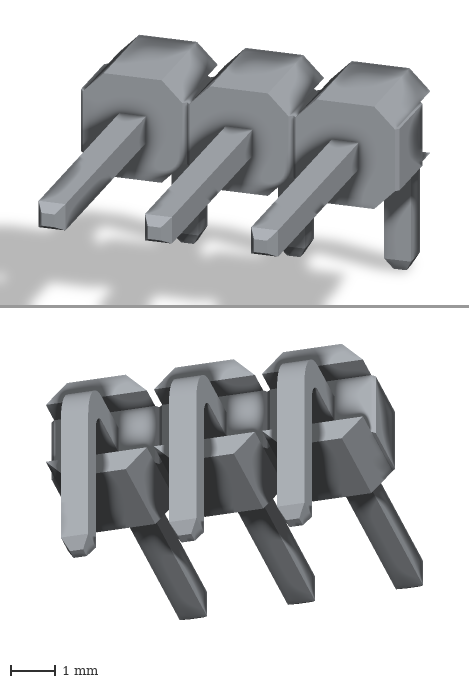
import cadquery as cq
import math

pin_count = 3
row_length = 7.62
total_length = 10.35
total_height = 5.5
pitch = row_length / pin_count

segment_height = 2.49
segment_depth = 2.5
corner_cut = 0.5
web_depth = 1.8
web_chamfer = 0.08
segment_width = pitch - 2 * web_chamfer
web_height = segment_height - 2 * corner_cut

pin_size = 0.64
tip_size = 0.31
tip_length = 0.29
front_reach = 6.0
rear_reach = total_length - front_reach
tail_drop = total_height - segment_height / 2
bend_radius_inner = 0.53
bend_radius = bend_radius_inner + pin_size / 2
tail_y = rear_reach - pin_size / 2

pin_positions = [(i - (pin_count - 1) / 2) * pitch for i in range(pin_count)]


def make_segment(x):
    """Octagonal block with a slot across its rear and a web that joins it to its neighbours."""
    block = (
        cq.Workplane("XY")
        .box(segment_width, segment_depth, segment_height, centered=(True, False, True))
        .edges("|Y")
        .chamfer(corner_cut)
    )
    rear_slot = (
        cq.Workplane("XY")
        .box(segment_width, segment_depth - web_depth, web_height, centered=(True, False, True))
        .translate((0, web_depth, 0))
    )
    web = (
        cq.Workplane("XY")
        .box(pitch, web_depth, web_height, centered=(True, False, True))
        .edges("|Z")
        .chamfer(web_chamfer)
    )
    return block.cut(rear_slot).union(web).translate((x, 0, 0))


def make_pin_hole(x):
    """Square prism cut through the web, a close fit for the pin."""
    return (
        cq.Workplane("XY")
        .box(pin_size, web_depth, pin_size, centered=(True, False, True))
        .translate((x, 0, 0))
    )


def make_housing():
    """Row of joined segments with one square hole for each pin."""
    housing = make_segment(pin_positions[0])
    for x in pin_positions[1:]:
        housing = housing.union(make_segment(x))
    for x in pin_positions:
        housing = housing.cut(make_pin_hole(x))
    return housing.solids()


def make_tip(end_plane):
    """Tapered square point growing out of a pin end."""
    return (
        cq.Workplane(end_plane)
        .rect(pin_size, pin_size)
        .workplane(offset=tip_length)
        .rect(tip_size, tip_size)
        .loft(ruled=True)
    )


def make_pin(x):
    """Square wire, straight at the front and bent down at the rear, pointed at both ends."""
    front_end = -front_reach + tip_length
    tail_end = -tail_drop + tip_length
    bend_start = tail_y - bend_radius
    bend_mid = bend_radius * math.sin(math.radians(45))

    path = (
        cq.Workplane("YZ")
        .moveTo(front_end, 0)
        .lineTo(bend_start, 0)
        .threePointArc(
            (bend_start + bend_mid, bend_mid - bend_radius),
            (tail_y, -bend_radius),
        )
        .lineTo(tail_y, tail_end)
    )
    wire = cq.Workplane("XZ", origin=(0, front_end, 0)).rect(pin_size, pin_size).sweep(path)

    front_tip = make_tip(cq.Plane(origin=(0, front_end, 0), xDir=(1, 0, 0), normal=(0, -1, 0)))
    tail_tip = make_tip(cq.Plane(origin=(0, tail_y, tail_end), xDir=(1, 0, 0), normal=(0, 0, -1)))
    return wire.union(front_tip).union(tail_tip).translate((x, 0, 0)).solids()


housing = make_housing()
pins = [make_pin(x) for x in pin_positions]

result = cq.Compound.makeCompound([housing.val(), *[pin.val() for pin in pins]])